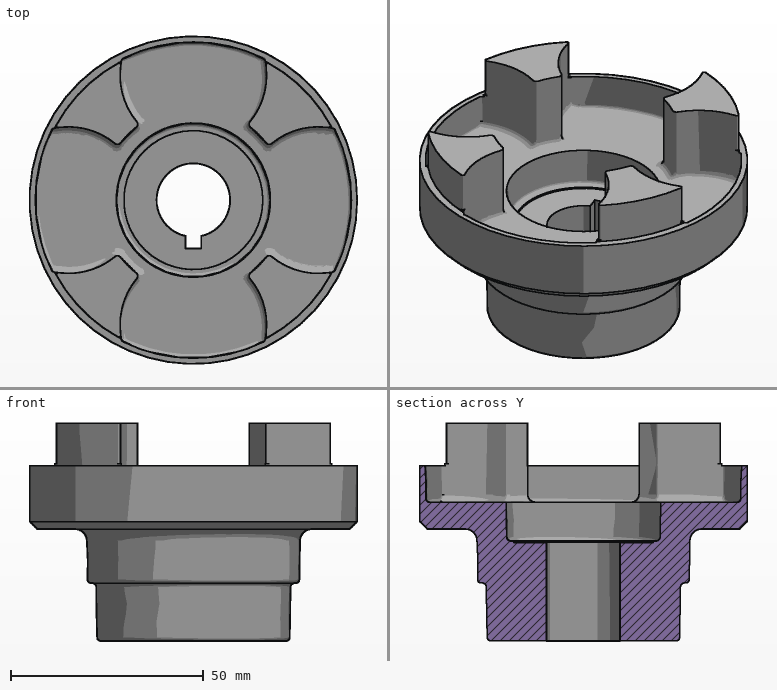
import cadquery as cq
import math

total_height = 56.5
rim_z = 45.5
flange_bottom_z = 29.0
hub_step_z = 15.0
dish_floor_z = 36.0
bore_recess_floor_z = 26.0
bore_sink_depth = 0.4
jaw_foot_height = 0.5

flange_radius = 42.5
flange_chamfer = 2.0
rim_inner_radius = 41.0
lower_hub_end_radius = 25.0
upper_hub_end_radius = 27.5
bore_recess_radius = 20.0
bore_sink_radius = 18.0
bore_radius = 9.5

draft_slope = math.tan(math.radians(1.0))

hub_edge_fillet = 1.0
flange_root_fillet = 3.0
dish_wall_fillet = 1.0
bore_recess_fillet = 1.0
jaw_root_fillet = 2.0
jaw_tip_fillet = 1.0
jaw_outer_fillet = 0.5

keyway_width = 4.0
keyway_reach = 12.5

jaw_count = 4
jaw_inner_radius = 24.0
jaw_outer_radius = 40.5
pocket_radius = 19.0
pocket_center_distance = 32.4

tolerance = 0.01


def revolve_outline(outline):
    return outline.close().revolve(360, (0, 0, 0), (0, 1, 0))


def tapered_recess(top_radius, top_z, floor_z):
    """Round recess whose drafted wall narrows toward the floor."""
    floor_radius = top_radius - draft_slope * (top_z - floor_z)
    return revolve_outline(
        cq.Workplane("XZ")
        .moveTo(0, floor_z)
        .lineTo(floor_radius, floor_z)
        .lineTo(top_radius, top_z)
        .lineTo(0, top_z)
    )


def edges_at(z):
    """Selector for the edges lying at one height."""
    reach = 2 * flange_radius
    return cq.selectors.BoxSelector(
        (-reach, -reach, z - tolerance), (reach, reach, z + tolerance)
    )


def distance_from_axis(point):
    return math.hypot(point.x, point.y)


def make_hub_and_flange():
    """Solid outer body: two drafted hub steps under a chamfered flange."""
    lower_hub_top_radius = lower_hub_end_radius + draft_slope * hub_step_z
    upper_hub_top_radius = upper_hub_end_radius + draft_slope * (flange_bottom_z - hub_step_z)
    hub = revolve_outline(
        cq.Workplane("XZ")
        .lineTo(lower_hub_end_radius, 0)
        .lineTo(lower_hub_top_radius, hub_step_z)
        .lineTo(upper_hub_end_radius, hub_step_z)
        .lineTo(upper_hub_top_radius, flange_bottom_z)
        .lineTo(flange_radius - flange_chamfer, flange_bottom_z)
        .lineTo(flange_radius, flange_bottom_z + flange_chamfer)
        .lineTo(flange_radius, rim_z)
        .lineTo(0, rim_z)
    )
    hub = hub.edges(edges_at(0)).fillet(hub_edge_fillet)
    hub = hub.edges(edges_at(hub_step_z)).fillet(hub_edge_fillet)
    root = hub.edges(edges_at(flange_bottom_z)).edges(cq.selectors.RadiusNthSelector(0))
    return root.fillet(flange_root_fillet)


def jaw_prisms(outer_radius, bottom_z, top_z):
    """Four jaws, centred on the diagonals, with rounded inner tips."""
    height = top_z - bottom_z
    base = cq.Workplane("XY").workplane(offset=bottom_z)
    ring = base.circle(outer_radius).circle(jaw_inner_radius).extrude(height)
    pockets = (
        base.polarArray(pocket_center_distance, 0, 360, jaw_count)
        .circle(pocket_radius)
        .extrude(height)
    )
    jaws = ring.cut(pockets)

    def at_tip(edge):
        return distance_from_axis(edge.Center()) < pocket_center_distance

    return jaws.edges("|Z").filter(at_tip).fillet(jaw_tip_fillet)


def dish_flange(body):
    """Dish the flange and leave the jaw roots standing, blended into floor and wall."""
    merge_radius = (rim_inner_radius + flange_radius) / 2
    dish = tapered_recess(rim_inner_radius, rim_z, dish_floor_z)
    dished = body.cut(dish).union(jaw_prisms(merge_radius, dish_floor_z, rim_z))

    def around_jaw_root(edge):
        on_floor = edge.BoundingBox().zmax < dish_floor_z + tolerance
        off_axis = distance_from_axis(edge.Center())
        return on_floor and bore_recess_radius < off_axis < rim_inner_radius - jaw_root_fillet

    def along_dish_wall(edge):
        middle = edge.positionAt(0.5)
        wall_radius = rim_inner_radius - draft_slope * (rim_z - middle.z)
        on_wall = abs(distance_from_axis(middle) - wall_radius) < tolerance
        return on_wall and dish_floor_z - tolerance < middle.z < rim_z - tolerance

    root_edges = dished.edges(edges_at(dish_floor_z)).filter(around_jaw_root)
    dished = root_edges.fillet(jaw_root_fillet)
    return dished.edges().filter(along_dish_wall).fillet(dish_wall_fillet)


def add_jaw_tops(body):
    """Jaws above the rim: a thin sharp foot, then rounded outer corners to the top."""
    foot_z = rim_z + jaw_foot_height
    foot = jaw_prisms(jaw_outer_radius, rim_z, foot_z)
    upper = jaw_prisms(jaw_outer_radius, foot_z, total_height)

    def at_outer_corner(edge):
        return distance_from_axis(edge.Center()) > jaw_outer_radius - tolerance

    upper = upper.edges("|Z").filter(at_outer_corner).fillet(jaw_outer_fillet)
    return body.union(foot).union(upper, clean=True)


def cut_bore(body):
    """Drafted recess with a shallow sink, and the keyed bore through the hub."""
    recess = tapered_recess(bore_recess_radius, dish_floor_z, bore_recess_floor_z)
    recess = recess.edges(edges_at(bore_recess_floor_z)).fillet(bore_recess_fillet)
    sink = (
        cq.Workplane("XY")
        .workplane(offset=bore_recess_floor_z - bore_sink_depth)
        .circle(bore_sink_radius)
        .extrude(2 * bore_sink_depth)
    )
    bore = cq.Workplane("XY").circle(bore_radius).extrude(bore_recess_floor_z)
    keyway = (
        cq.Workplane("XY")
        .center(0, -keyway_reach / 2)
        .rect(keyway_width, keyway_reach)
        .extrude(bore_recess_floor_z)
    )
    return body.cut(recess).cut(sink).cut(bore).cut(keyway)


body = make_hub_and_flange()
body = dish_flange(body)
body = add_jaw_tops(body)
result = cut_bore(body)